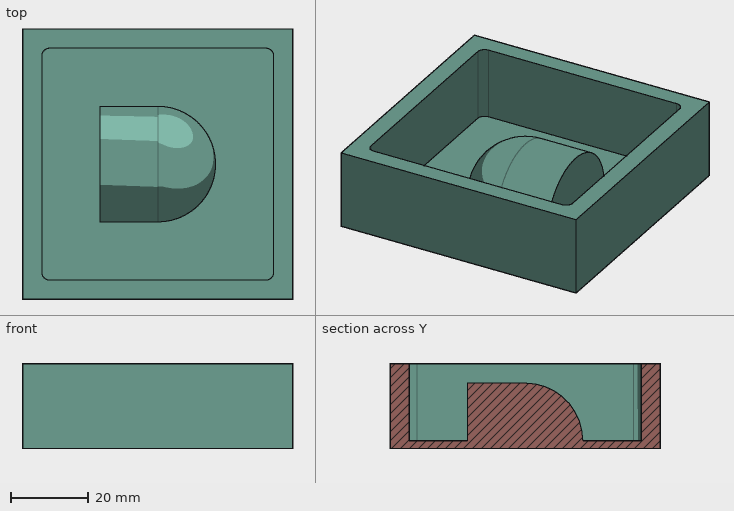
import cadquery as cq

side = 70.0
height = 22.0
wall = 5.0
floor = 2.0
corner_radius = 2.0

boss_radius = 15.0
boss_length = 15.0


def make_tray():
    """Open-topped square box with rounded vertical cavity corners."""
    cavity_side = side - 2 * wall
    cavity = (
        cq.Workplane("XY", origin=(0, 0, floor))
        .rect(cavity_side, cavity_side)
        .extrude(height - floor)
        .edges("|Z")
        .fillet(corner_radius)
    )
    return cq.Workplane("XY").rect(side, side).extrude(height).cut(cavity)


def make_boss():
    """Cylinder along X ending in a sphere at the tray centre, kept above the underside of the floor."""
    cylinder = (
        cq.Workplane("YZ", origin=(-boss_length, 0, floor))
        .circle(boss_radius)
        .extrude(boss_length)
    )
    dome = cq.Workplane("XY", origin=(0, 0, floor)).sphere(boss_radius)
    upper_space = cq.Workplane("XY").rect(side, side).extrude(height)
    return cylinder.union(dome).intersect(upper_space)


result = make_tray().union(make_boss())